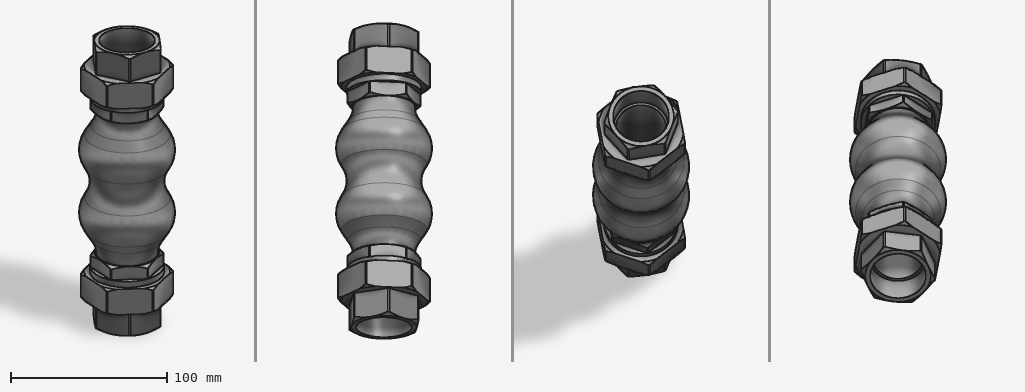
import cadquery as cq
import math

half_length = 100.0

nut_top = 82.2
nut_bottom = 64.2
collar_bottom = 60.0
body_hex_bottom = 50.8

end_hex_flats = 41.8
end_hex_corners = 47.5
nut_flats = 52.0
nut_corners = 59.5
body_hex_flats = 41.2
body_hex_corners = 47.0

end_hex_face = end_hex_flats
nut_face = 54.8
body_hex_face = body_hex_flats
chamfer_angle = 30.0

collar_diameter = 47.5
bore_diameter = 32.0
socket_diameter = 35.5
socket_depth = 18.0

waist_radius = 24.0
bulge_radius = 30.8
bulge_height = 22.5
bulge_half_width = 11.0
bulge_edge_radius = 27.5
cone_end_radius = 23.2
cone_end_height = 40.0
neck_radius = 19.8


def revolve_about_z(profile):
    """Full turn of an XZ profile about the Z axis."""
    return profile.close().revolve(360, (0, 0, 0), (0, 1, 0))


def cylinder(bottom, top, diameter):
    """Round bar along Z between two heights."""
    return cq.Workplane("XY").workplane(offset=bottom).circle(diameter / 2).extrude(top - bottom)


def hexagon(bottom, top, flats, corners, bottom_face, top_face):
    """Hexagonal prism with corners on Y, trimmed by a cylinder with conical ends.

    An end face as wide as the trimmed corners leaves that end without a chamfer.
    """
    prism = (
        cq.Workplane("XY")
        .workplane(offset=bottom)
        .polygon(6, flats, circumscribed=True)
        .extrude(top - bottom)
    )
    slope = math.tan(math.radians(chamfer_angle))
    envelope = cylinder(bottom, top, corners)
    for face_height, face, inward in ((bottom, bottom_face, 1), (top, top_face, -1)):
        run = (corners - face) / 2
        if run > 0:
            corner_ring = (
                cq.Workplane("XZ")
                .moveTo(face / 2, face_height)
                .lineTo(corners / 2, face_height)
                .lineTo(corners / 2, face_height + inward * run * slope)
            )
            envelope = envelope.cut(revolve_about_z(corner_ring))
    return prism.intersect(envelope)


def turned_to_x(hexagonal_part):
    """Turn a hexagon so that two corners lie on X instead of Y."""
    return hexagonal_part.rotate((0, 0, 0), (0, 0, 1), 30)


def corrugated_body():
    """Solid of revolution between the inner ends of the two fittings."""
    inner_edge = bulge_height - bulge_half_width
    outer_edge = bulge_height + bulge_half_width
    flare_rise = cone_end_radius - neck_radius
    flare_length = body_hex_bottom - cone_end_height
    flare_arc_radius = (flare_length**2 + flare_rise**2) / (2 * flare_rise)
    profile = (
        cq.Workplane("XZ")
        .moveTo(0, -body_hex_bottom)
        .lineTo(neck_radius, -body_hex_bottom)
        .radiusArc((cone_end_radius, -cone_end_height), flare_arc_radius)
        .lineTo(bulge_edge_radius, -outer_edge)
        .threePointArc((bulge_radius, -bulge_height), (bulge_edge_radius, -inner_edge))
        .threePointArc((waist_radius, 0), (bulge_edge_radius, inner_edge))
        .threePointArc((bulge_radius, bulge_height), (bulge_edge_radius, outer_edge))
        .lineTo(cone_end_radius, cone_end_height)
        .radiusArc((neck_radius, body_hex_bottom), flare_arc_radius)
        .lineTo(0, body_hex_bottom)
    )
    return revolve_about_z(profile)


def upper_fitting():
    """Body hexagon, collar, union nut and end hexagon, stacked upward."""
    body_hex = hexagon(
        body_hex_bottom, collar_bottom, body_hex_flats, body_hex_corners, body_hex_face, body_hex_corners
    )
    collar = cylinder(collar_bottom, nut_bottom, collar_diameter)
    nut = hexagon(nut_bottom, nut_top, nut_flats, nut_corners, nut_face, nut_face)
    end_hex = hexagon(nut_top, half_length, end_hex_flats, end_hex_corners, end_hex_corners, end_hex_face)
    return body_hex.union(collar).union(nut).union(turned_to_x(end_hex))


def bore():
    """Through bore with a wider socket at each end."""
    socket = cylinder(half_length - socket_depth, half_length, socket_diameter)
    return cylinder(-half_length, half_length, bore_diameter).union(socket).union(socket.mirror("XY"))


fitting = upper_fitting()
result = corrugated_body().union(fitting).union(fitting.mirror("XY")).cut(bore())